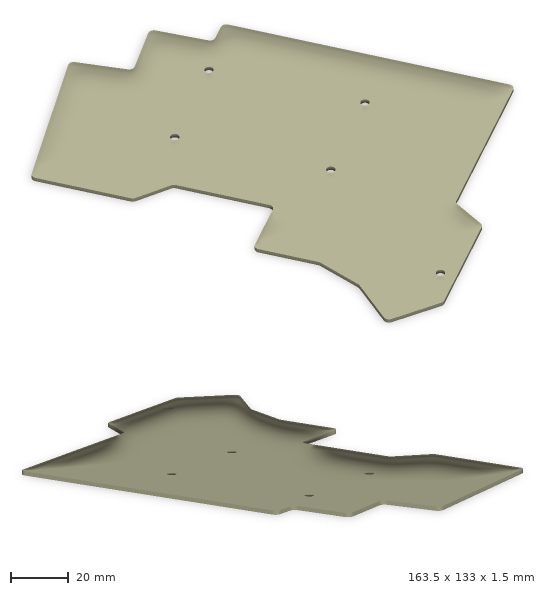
import cadquery as cq
import math

length = 163.5
width = 133.0
thickness = 1.5
corner_radius = 2.0
hole_diameter = 3.3

main_left = 44.0
main_right = 150.7
outer_tilt = math.radians(6)
outer_top = 97.0
outer_bottom = 33.8
inner_step_left = 21.0
inner_step_top = 122.0
inner_tilt = math.radians(2)
outer_step_end = (22.4, 99.4)

notch_left = 54.8
notch_right = 91.7
notch_top = 45.5
tab_bottom = 21.7
tab_right = 116.0
arm_elbow = (132.8, 14.5)

arm_top = 58.4
arm_root = 66.9
tip_x = 147.8

tip_y = -(math.sqrt(2) - 1) * corner_radius
arm_right_bottom = tip_y + (length - tip_x)

outer_left = corner_radius * (1 - math.cos(outer_tilt) - math.sin(outer_tilt))
outer_bottom_left = outer_left + (outer_top - outer_bottom) * math.tan(outer_tilt)
inner_step_end = inner_step_top + (main_left - inner_step_left) * math.tan(inner_tilt)

outline = [
    (main_left, width),
    (main_right, width),
    (main_right, arm_root),
    (length, arm_top),
    (length, arm_right_bottom),
    (tip_x, tip_y),
    arm_elbow,
    (tab_right, tab_bottom),
    (notch_right, tab_bottom),
    (notch_right, notch_top),
    (notch_left, notch_top),
    (main_left, outer_bottom),
    (outer_bottom_left, outer_bottom),
    (outer_left, outer_top),
    outer_step_end,
    (inner_step_left, inner_step_top),
    (main_left, inner_step_end),
]

hole_centers = [
    (47.3, 107.7),
    (104.1, 108.0),
    (47.3, 69.8),
    (104.1, 70.1),
    (157.6, 29.5),
]

plate = cq.Workplane("XY").polyline(outline).close().extrude(thickness)
plate = plate.edges("|Z").fillet(corner_radius)

holes = cq.Workplane("XY").pushPoints(hole_centers).circle(hole_diameter / 2).extrude(thickness)
result = plate.cut(holes)